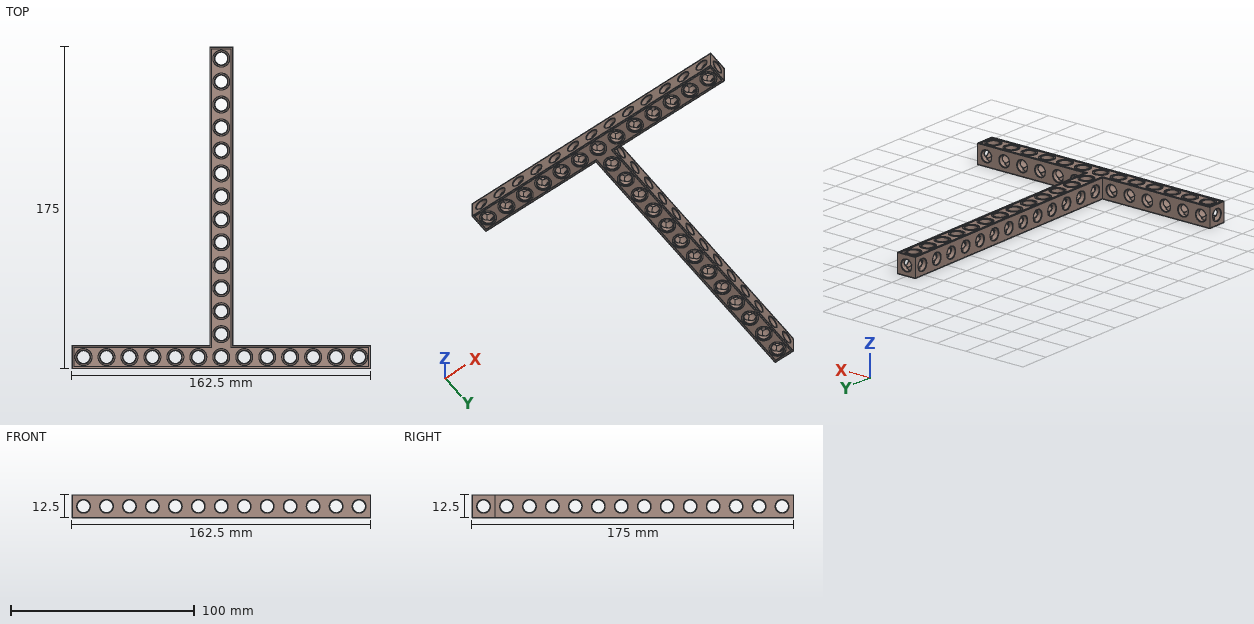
import cadquery as cq

pitch = 12.5
bar_holes = 13
stem_holes = 13
hole_diameter = 7.0
hole_chamfer = 0.25
collar_diameter = 9.2
rim_width = 1.05
recess_depth = 0.25
edge_chamfer = 0.15

bar_length = bar_holes * pitch
stem_length = stem_holes * pitch
half = pitch / 2
hole_radius = hole_diameter / 2
bar_x = [(i - (bar_holes - 1) / 2) * pitch for i in range(bar_holes)]
crossing_x = [x for x in bar_x if x != 0]
stem_y = [(i + 1) * pitch for i in range(stem_holes)]
vertical_spots = [(x, 0) for x in bar_x] + [(0, y) for y in stem_y]


def tee(inset, bottom, height):
    """T-shaped slab whose outline lies inside the beam outline by the inset."""
    width = pitch - 2 * inset
    bar = cq.Workplane("XY").box(bar_length - 2 * inset, width, height, centered=(True, True, False))
    stem = cq.Workplane("XY").box(width, stem_length + half - inset, height, centered=(True, False, False))
    return bar.union(stem).clean().translate((0, 0, bottom))


def face_recess(bottom):
    """Shallow floor inside the rim, leaving a collar standing around every vertical hole."""
    collars = (
        cq.Workplane("XY", origin=(0, 0, bottom))
        .pushPoints(vertical_spots)
        .circle(collar_diameter / 2)
        .extrude(recess_depth)
    )
    return tee(rim_width, bottom, recess_depth).cut(collars)


def hole_cutter(start, direction, length):
    """Through-hole cutter from a start point, widened to a chamfer at both mouths."""
    origin = cq.Vector(*start)
    axis = cq.Vector(*direction)
    mouth_radius = hole_radius + hole_chamfer
    return [
        cq.Solid.makeCylinder(hole_radius, length, origin, axis),
        cq.Solid.makeCone(mouth_radius, hole_radius, hole_chamfer, origin, axis),
        cq.Solid.makeCone(mouth_radius, hole_radius, hole_chamfer, origin + axis * length, axis * -1),
    ]


def hole_row(starts, direction, length):
    """All equal holes that run in one direction."""
    solids = []
    for start in starts:
        solids += hole_cutter(start, direction, length)
    return cq.Workplane("XY").newObject(solids).combine()


vertical_holes = hole_row([(x, y, -half) for x, y in vertical_spots], (0, 0, 1), pitch)
bar_side_holes = hole_row([(x, -half, 0) for x in crossing_x], (0, 1, 0), pitch)
stem_side_holes = hole_row([(-half, y, 0) for y in stem_y], (1, 0, 0), pitch)
bar_bore = hole_row([(-bar_length / 2, 0, 0)], (1, 0, 0), bar_length)
stem_bore = hole_row([(0, -half, 0)], (0, 1, 0), pitch + stem_length)

result = (
    tee(0, -half, pitch)
    .faces("<Z or >Z")
    .chamfer(edge_chamfer)
    .cut(face_recess(half - recess_depth))
    .cut(face_recess(-half))
    .cut(vertical_holes)
    .cut(bar_side_holes)
    .cut(stem_side_holes)
    .cut(bar_bore)
    .cut(stem_bore)
)